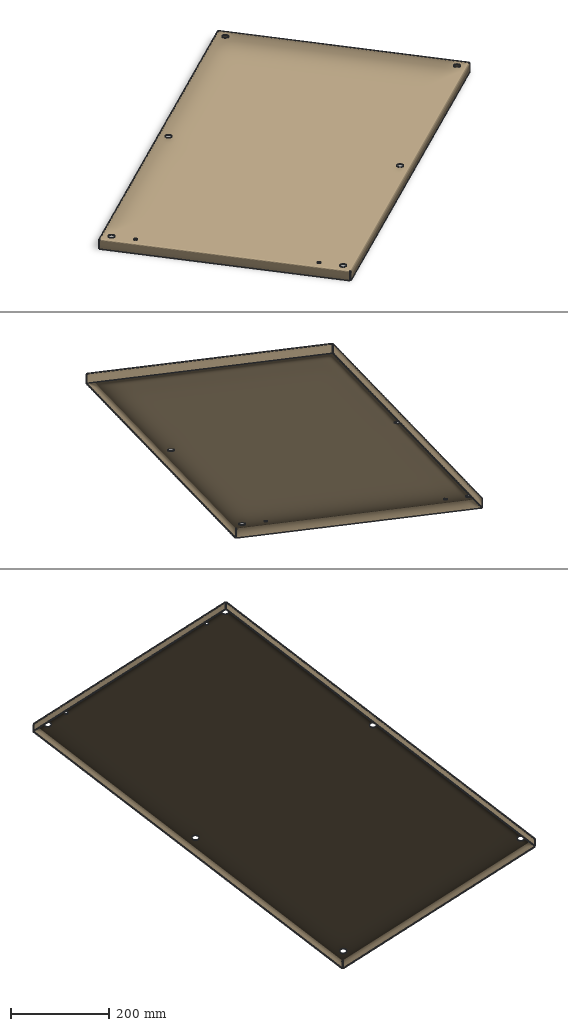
import cadquery as cq

width = 533.4
length = 939.8
height = 22.23

sheet_thickness = 2.1
inner_bend_radius = 0.9
outer_bend_radius = inner_bend_radius + sheet_thickness

flange_end_setback = 2.5

mounting_hole_diameter = 14.3
mounting_hole_inset = 22.225
mounting_x = width / 2 - mounting_hole_inset
mounting_y = length / 2 - mounting_hole_inset

small_hole_diameter = 7.92
small_hole_spacing = 387.35


def standing_box(size_x, size_y, size_z):
    """Box centred on X and Y, with its bottom at Z = 0."""
    return cq.Workplane("XY").box(size_x, size_y, size_z, centered=(True, True, False))


def folded_channel(span, depth):
    """Channel with its web on top and two flanges, folded about Y; span along X, depth along Y."""
    outer = standing_box(span, depth, height).edges("|Y and >Z").fillet(outer_bend_radius)
    inner_span = span - 2 * sheet_thickness
    inner_height = height - sheet_thickness
    inner = standing_box(inner_span, depth, inner_height).edges("|Y and >Z").fillet(inner_bend_radius)
    return outer.cut(inner)


def crossed_channels(corner_setback):
    """Two channels folded along the long and short sides, each stopping short of the corners."""
    long_sides = folded_channel(width, length - 2 * corner_setback)
    short_sides = folded_channel(length, width - 2 * corner_setback)
    return long_sides.union(short_sides.rotate((0, 0, 0), (0, 0, 1), 90))


def flanged_sheet():
    """Web and bends with square corner reliefs, and flanges that nearly meet below the bends."""
    bent_sheet = crossed_channels(outer_bend_radius)
    below_bends = standing_box(width, length, height - outer_bend_radius)
    extended_flanges = crossed_channels(flange_end_setback).intersect(below_bends)
    return bent_sheet.union(extended_flanges)


def drill(body, points, diameter):
    """Cut round holes of one diameter through the full height at the given points."""
    drills = cq.Workplane("XY").pushPoints(points).circle(diameter / 2).extrude(height)
    return body.cut(drills)


mounting_points = [
    (x, y)
    for x in (-mounting_x, mounting_x)
    for y in (-mounting_y, 0, mounting_y)
]
small_points = [
    (x, -mounting_y)
    for x in (-small_hole_spacing / 2, small_hole_spacing / 2)
]

panel = flanged_sheet()
panel = drill(panel, mounting_points, mounting_hole_diameter)
result = drill(panel, small_points, small_hole_diameter)